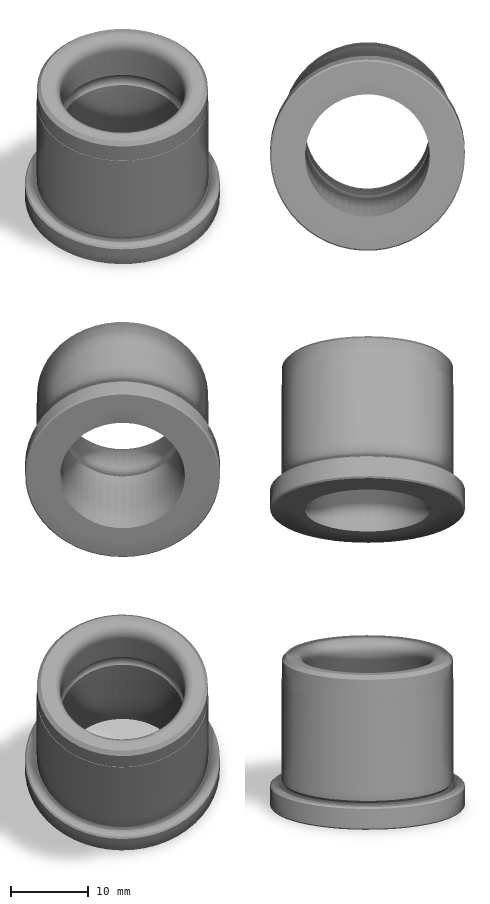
import cadquery as cq
import math

total_height = 20.0

collar_radius = 12.5
collar_height = 3.0
collar_chamfer = 0.2

body_radius = 11.01
pilot_radius = 10.96
pilot_height = 3.0
pilot_chamfer = 0.5

relief_height = 0.5
relief_neck_radius = 10.6
relief_neck_height = 0.12
relief_outer_radius = 11.5
relief_floor_radius = 11.18
relief_floor_depth = 0.1
relief_sagitta = 0.25

bore_radius = 8.0
mouth_radius = 1.5
groove_width = 1.8
groove_depth = 0.5
groove_height = 13.3


def relief_floor_middle(inner, outer):
    """Middle of the arc from inner to outer that dips by the sagitta."""
    run = outer[0] - inner[0]
    rise = outer[1] - inner[1]
    chord = math.hypot(run, rise)
    return (
        (inner[0] + outer[0]) / 2 + relief_sagitta * rise / chord,
        (inner[1] + outer[1]) / 2 - relief_sagitta * run / chord,
    )


def outer_body():
    """Solid outside shape, revolved from its (radius, height) half section."""
    relief_inner = (relief_neck_radius, collar_height + relief_neck_height)
    relief_outer = (relief_floor_radius, collar_height - relief_floor_depth)
    return (
        cq.Workplane("XZ")
        .moveTo(0, 0)
        .lineTo(collar_radius - collar_chamfer, 0)
        .lineTo(collar_radius, collar_chamfer)
        .lineTo(collar_radius, collar_height - collar_chamfer)
        .lineTo(collar_radius - collar_chamfer, collar_height)
        .lineTo(relief_outer_radius, collar_height)
        .lineTo(*relief_outer)
        .threePointArc(relief_floor_middle(relief_inner, relief_outer), relief_inner)
        .lineTo(body_radius, collar_height + relief_height)
        .lineTo(body_radius, total_height - pilot_height)
        .lineTo(pilot_radius, total_height - pilot_height)
        .lineTo(pilot_radius, total_height - pilot_chamfer)
        .lineTo(pilot_radius - pilot_chamfer, total_height)
        .lineTo(0, total_height)
        .close()
        .revolve(360, (0, 0, 0), (0, 1, 0))
    )


def bore():
    """Through bore that flares out along a quarter round at the top."""
    flare_start = total_height - mouth_radius
    flare_centre_radius = bore_radius + mouth_radius
    diagonal = mouth_radius * math.sqrt(0.5)
    flare_middle = (flare_centre_radius - diagonal, flare_start + diagonal)
    return (
        cq.Workplane("XZ")
        .moveTo(0, 0)
        .lineTo(bore_radius, 0)
        .lineTo(bore_radius, flare_start)
        .threePointArc(flare_middle, (flare_centre_radius, total_height))
        .lineTo(0, total_height)
        .close()
        .revolve(360, (0, 0, 0), (0, 1, 0))
    )


def lubrication_groove():
    """Ring that cuts a round-bottomed groove into the bore wall."""
    return (
        cq.Workplane("XZ")
        .moveTo(bore_radius, groove_height - groove_width / 2)
        .threePointArc(
            (bore_radius + groove_depth, groove_height),
            (bore_radius, groove_height + groove_width / 2),
        )
        .close()
        .revolve(360, (0, 0, 0), (0, 1, 0))
    )


result = outer_body().cut(bore()).cut(lubrication_groove())